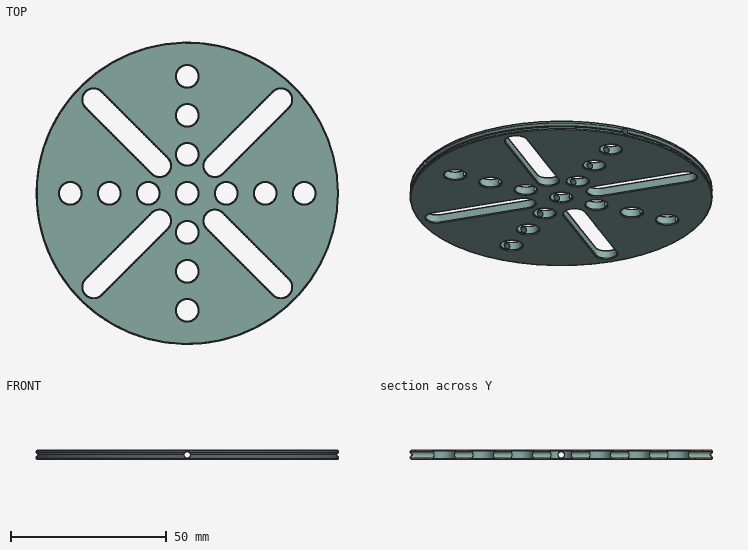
import cadquery as cq

disc_diameter = 96.9
thickness = 3.1
edge_chamfer = 0.3

groove_depth = 0.7
groove_floor_width = 0.1
groove_mouth_width = groove_floor_width + 2 * groove_depth

hole_diameter = 7.0
hole_pitch = 12.5
holes_per_arm = 3

slot_width = hole_diameter
slot_inner_radius = hole_pitch
slot_outer_radius = 42.4
slot_angles = (45, 135, 225, 315)

cross_bore_diameter = 2.0

disc_radius = disc_diameter / 2
half_thickness = thickness / 2


def make_disc():
    """Revolve the half section: chamfered rims with the V-groove between them."""
    chamfer_start = disc_radius - edge_chamfer
    rim_height = half_thickness - edge_chamfer
    floor_radius = disc_radius - groove_depth
    return (
        cq.Workplane("XZ")
        .moveTo(0, -half_thickness)
        .lineTo(chamfer_start, -half_thickness)
        .lineTo(disc_radius, -rim_height)
        .lineTo(disc_radius, -groove_mouth_width / 2)
        .lineTo(floor_radius, -groove_floor_width / 2)
        .lineTo(floor_radius, groove_floor_width / 2)
        .lineTo(disc_radius, groove_mouth_width / 2)
        .lineTo(disc_radius, rim_height)
        .lineTo(chamfer_start, half_thickness)
        .lineTo(0, half_thickness)
        .close()
        .revolve(360, (0, 0, 0), (0, 1, 0))
    )


def hole_positions():
    """Centre hole plus equally spaced holes along each half of the X and Y axes."""
    positions = [(0, 0)]
    for step in range(1, holes_per_arm + 1):
        distance = step * hole_pitch
        positions += [(distance, 0), (-distance, 0), (0, distance), (0, -distance)]
    return positions


def cut_holes(plate):
    return (
        plate.faces(">Z")
        .workplane(origin=(0, 0, half_thickness))
        .pushPoints(hole_positions())
        .hole(hole_diameter)
    )


def cut_slots(plate):
    slot_length = slot_outer_radius - slot_inner_radius + slot_width
    slot_middle = (slot_inner_radius + slot_outer_radius) / 2
    slot = (
        cq.Workplane("XY")
        .center(slot_middle, 0)
        .slot2D(slot_length, slot_width)
        .extrude(half_thickness, both=True)
    )
    for angle in slot_angles:
        plate = plate.cut(slot.rotate((0, 0, 0), (0, 0, 1), angle))
    return plate


def chamfer_openings(plate):
    """Break the edges of every hole and slot on both flat faces."""
    rims = []
    for face in plate.faces("|Z").vals():
        for wire in face.innerWires():
            rims += wire.Edges()
    return plate.newObject(rims).chamfer(edge_chamfer)


def cut_cross_bores(plate):
    for plane in ("YZ", "XZ"):
        bore = (
            cq.Workplane(plane)
            .circle(cross_bore_diameter / 2)
            .extrude(disc_diameter, both=True)
        )
        plate = plate.cut(bore)
    return plate


plate = make_disc()
plate = cut_holes(plate)
plate = cut_slots(plate)
plate = chamfer_openings(plate)
result = cut_cross_bores(plate)